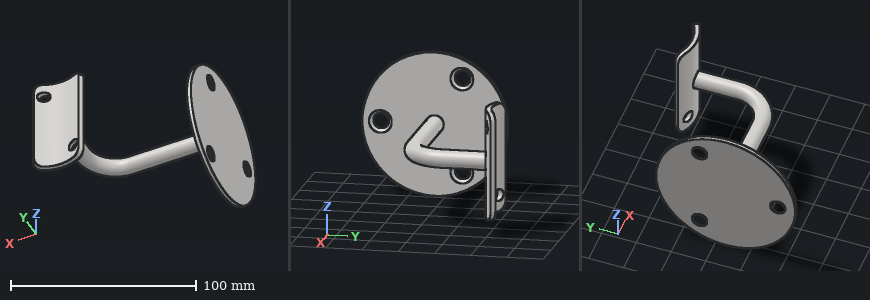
import cadquery as cq
import math

disc_diameter = 80.0
disc_thickness = 2.5
screw_hole_diameter = 8.5
countersink_depth = 2.0
countersink_angle = 90
screw_circle_radius = 30.0
screw_hole_count = 3

rod_diameter = 10.0
bend_start_x = 55.0
bend_radius = 20.0
rod_end_x = bend_start_x + bend_radius

overall_depth = 91.7
saddle_width = 30.4
saddle_height = 60.1
saddle_inner_radius = 21.4
saddle_thickness = 3.0
saddle_corner_radius = 5.0
saddle_hole_diameter = 6.6
saddle_hole_offset_x = 8.8
saddle_hole_offset_z = 21.0

saddle_outer_radius = saddle_inner_radius + saddle_thickness
saddle_half_angle = math.asin(saddle_width / 2 / saddle_outer_radius)
saddle_tip_y = overall_depth - disc_diameter / 2
saddle_axis_y = saddle_tip_y + saddle_inner_radius * math.cos(saddle_half_angle)
saddle_middle_y = saddle_axis_y - saddle_inner_radius - saddle_thickness / 2


def make_wall_disc():
    """Flat disc with evenly spaced holes, countersunk on the rod side, one of them at -Y."""
    countersink_widening = 2 * countersink_depth * math.tan(math.radians(countersink_angle / 2))
    return (
        cq.Workplane("YZ")
        .circle(disc_diameter / 2)
        .extrude(disc_thickness)
        .faces(">X")
        .workplane()
        .polarArray(screw_circle_radius, 180, 360, screw_hole_count)
        .cskHole(screw_hole_diameter, screw_hole_diameter + countersink_widening, countersink_angle)
    )


def make_rod():
    """Rod leaving the disc along +X, then bending to +Y and ending inside the saddle wall."""
    path = (
        cq.Workplane("XY")
        .moveTo(disc_thickness / 2, 0)
        .lineTo(bend_start_x, 0)
        .tangentArcPoint((bend_radius, bend_radius))
        .lineTo(rod_end_x, saddle_middle_y)
    )
    return cq.Workplane("YZ", origin=(disc_thickness / 2, 0, 0)).circle(rod_diameter / 2).sweep(path)


def saddle_point(radius, angle):
    """Point on a saddle arc; the angle is measured from the -Y direction."""
    return (rod_end_x + radius * math.sin(angle), saddle_axis_y - radius * math.cos(angle))


def make_saddle():
    """Piece of tube wall with radial ends, rounded corners and two diagonal holes along Y."""
    saddle = (
        cq.Workplane("XY")
        .moveTo(*saddle_point(saddle_outer_radius, -saddle_half_angle))
        .threePointArc(
            saddle_point(saddle_outer_radius, 0),
            saddle_point(saddle_outer_radius, saddle_half_angle),
        )
        .lineTo(*saddle_point(saddle_inner_radius, saddle_half_angle))
        .threePointArc(
            saddle_point(saddle_inner_radius, 0),
            saddle_point(saddle_inner_radius, -saddle_half_angle),
        )
        .close()
        .extrude(saddle_height / 2, both=True)
        .faces("|Z")
        .edges("%LINE")
        .fillet(saddle_corner_radius)
    )
    holes = (
        cq.Workplane("XZ", origin=(rod_end_x, saddle_axis_y, 0))
        .pushPoints([
            (saddle_hole_offset_x, saddle_hole_offset_z),
            (-saddle_hole_offset_x, -saddle_hole_offset_z),
        ])
        .circle(saddle_hole_diameter / 2)
        .extrude(saddle_outer_radius)
    )
    return saddle.cut(holes)


result = make_wall_disc().union(make_rod()).union(make_saddle())